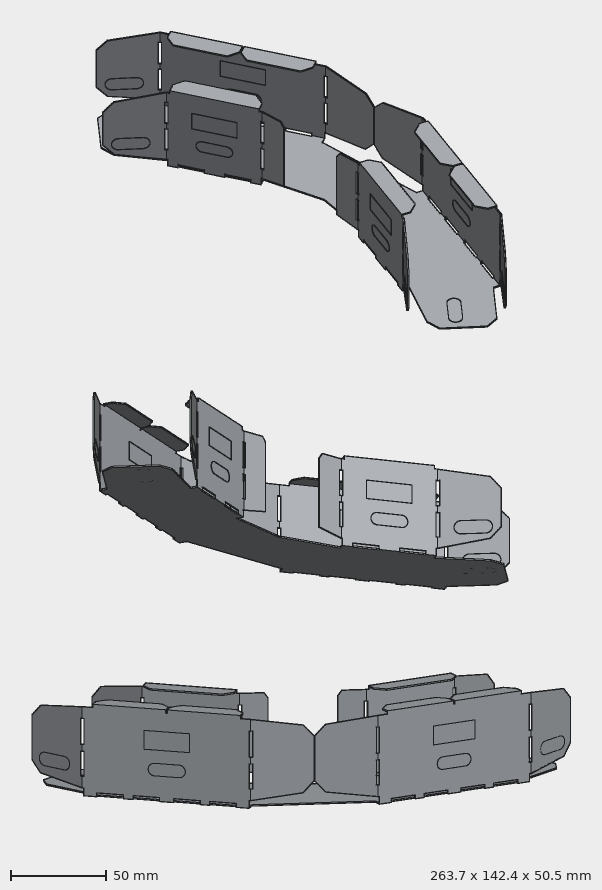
import cadquery as cq
import math


thickness = 0.8
height = 50.5
tray_width = 48.3
wing_angle = 22.5

outer_half = 92.0 / 2
inner_half = 26.7
shoulder_height = 48.5
wing_bottom = 4.2
foot_inset = 0.8

wing_length = 33.8
short_wing_length = 15.0
wing_chamfer = 5.8
outer_tip_heights = [7.7, 14.0, 38.5, 44.5]
inner_tip_heights = [9.0, 15.3, 37.0, 43.5]
short_chamfer = 2.0
short_wing_top = 45.7
short_wing_lower = 6.9
mid_gap = 0.3

tab_depth = 10.5
tab_straight = 5.3
tab_chamfer = 5.0
outer_tab_end = 40.5
inner_tab_end = 24.8
tab_gap = 0.8

slit_width = 1.8
bend_slits = [(10.5, 24.3), (28.0, 42.2)]
foot_slit_height = 2.0
foot_slit_length = 14.5
foot_slit_depth = 1.3
outer_foot_slits = [-31.0, -11.0, 11.0, 31.0]
inner_foot_slits = [-13.0, 13.0]

mark_depth = 0.3
slot_length = 20.3
end_slot_width = 7.5
wall_slot_width = 6.9
end_slot_from_bend = 19.0
wing_slot_height = 15.5
wall_slot_height = 17.2
window_length = 25.0
window_width = 10.3
window_height = 33.0

floor_clearance = 4.5
floor_end_chamfer = 6.3
floor_end_near = 10.0
floor_end_far = 35.0
floor_end_corner = 41.5
floor_notch = 4.2
floor_apex = 40.6
floor_slot_inward = 26.0

turn_cos = math.cos(math.radians(wing_angle))
turn_sin = math.sin(math.radians(wing_angle))
inner_face = thickness - tray_width
middle = (outer_half + wing_length * turn_cos, -wing_length * turn_sin)


def upright(x, y, angle):
    """Workplane standing on the path: local x along it, local y up, normal to the bend centre."""
    turn = math.radians(angle)
    along = (math.cos(turn), math.sin(turn), 0)
    normal = (math.sin(turn), -math.cos(turn), 0)
    return cq.Workplane(cq.Plane(origin=(x, y, 0), xDir=along, normal=normal))


def slot_mark(plane, x, y, width, angle=0):
    """Cutter for a round-ended mark in the sheet face that lies one thickness off the plane."""
    face = plane.workplane(offset=thickness - mark_depth)
    return face.center(x, y).slot2D(slot_length, width, angle).extrude(mark_depth)


def wall(half, y, tab_spans):
    """Upright wall with raised strips under its tabs, a slot mark and a label window."""
    foot = half - foot_inset
    outline = [
        (-foot, 0), (foot, 0), (foot, wing_bottom), (half, wing_bottom), (half, shoulder_height),
        (-half, shoulder_height), (-half, wing_bottom), (-foot, wing_bottom),
    ]
    plane = upright(0, y, 0)
    body = plane.polyline(outline).close().extrude(thickness)
    for start, end in tab_spans:
        strip = plane.center((start + end) / 2, height / 2).rect(end - start, height)
        body = body.union(strip.extrude(thickness))
    body = body.cut(slot_mark(plane, 0, wall_slot_height, wall_slot_width))
    face = plane.workplane(offset=thickness - mark_depth)
    window = face.center(0, window_height).rect(window_length, window_width)
    return body.cut(window.extrude(mark_depth))


def foot_slit_cutter(y, foot_slits):
    """Slits through the bend between a wall and the floor."""
    centres = [(x, y - foot_slit_depth / 2) for x in foot_slits]
    slits = cq.Workplane("XY").pushPoints(centres)
    return slits.rect(foot_slit_length, foot_slit_depth).extrude(foot_slit_height)


def wing(side, half, y, outline, has_slot):
    """Wing bent off one end of a wall; side is -1 for the left end and 1 for the right."""
    plane = upright(side * half, y, -side * wing_angle)
    body = plane.polyline([(side * along, up) for along, up in outline]).close().extrude(thickness)
    if has_slot:
        mark = slot_mark(plane, side * end_slot_from_bend, wing_slot_height, end_slot_width)
        body = body.cut(mark)
    return body


def bend_slit_cutter(side, half, y):
    """Slits up the bend between a wall and its wing."""
    reach = 4 * thickness
    cutter = cq.Workplane("XY")
    for bottom, top in bend_slits:
        base = cq.Workplane("XY", origin=(side * half, y, bottom))
        cutter = cutter.union(base.rect(slit_width, reach).extrude(top - bottom))
    return cutter


def tapered_wing(length, tip_heights):
    """Wing outline that narrows towards its chamfered tip."""
    bottom_corner, bottom_tip, top_tip, top_corner = tip_heights
    return [
        (0, wing_bottom), (length - wing_chamfer, bottom_corner), (length, bottom_tip),
        (length, top_tip), (length - wing_chamfer, top_corner), (0, shoulder_height),
    ]


def tab(start, end, y, direction):
    """Flat tab at the wall top, reaching from y towards the tray middle."""
    straight = y + direction * tab_straight
    edge = y + direction * tab_depth
    outline = [
        (start, y), (start, straight), (start + tab_chamfer, edge),
        (end - tab_chamfer, edge), (end, straight), (end, y),
    ]
    sheet = cq.Workplane("XY").workplane(offset=height - thickness)
    return sheet.polyline(outline).close().extrude(thickness)


def end_point(along, inward):
    """Floor point measured from the left outer bend, along the end wing and away from it."""
    x = -outer_half - along * turn_cos + inward * turn_sin
    y = -along * turn_sin - inward * turn_cos
    return (x, y)


def bisector_point(inward):
    """Floor point on the mirror plane, measured inward from the outer side."""
    return (middle[0] - inward * turn_sin, middle[1] - inward * turn_cos)


def floor():
    """Floor sheet from the tray end to the mirror plane, with its end slot mark."""
    outer_foot = outer_half - foot_inset
    inner_foot = inner_half - foot_inset
    notch_y = floor_notch - tray_width
    outline = [
        (outer_foot, 0), (-outer_foot, 0), (-outer_foot, -floor_clearance),
        end_point(wing_length - floor_end_chamfer, floor_clearance),
        end_point(wing_length, floor_end_near),
        end_point(wing_length, floor_end_far),
        end_point(wing_length - floor_end_chamfer, floor_end_corner),
        (-inner_foot, notch_y), (-inner_foot, -tray_width),
        (inner_foot, -tray_width), (inner_foot, notch_y),
        bisector_point(floor_apex), bisector_point(floor_clearance),
        (outer_foot, -floor_clearance),
    ]
    sheet = cq.Workplane("XY")
    slot_x, slot_y = end_point(end_slot_from_bend, floor_slot_inward)
    mark = slot_mark(sheet, slot_x, slot_y, end_slot_width, wing_angle)
    return sheet.polyline(outline).close().extrude(thickness).cut(mark)


def station():
    """One straight station: floor, both walls, their wings and tabs."""
    outer_end_wing = tapered_wing(wing_length, outer_tip_heights)
    outer_mid_wing = tapered_wing(wing_length - mid_gap / 2, outer_tip_heights)
    inner_end_wing = tapered_wing(wing_length, inner_tip_heights)
    short_wing = [
        (0, wing_bottom), (short_wing_length, short_wing_lower), (short_wing_length, short_wing_top),
        (short_wing_length - short_chamfer, shoulder_height), (0, shoulder_height),
    ]
    outer_tabs = [(-outer_tab_end, -tab_gap / 2), (tab_gap / 2, outer_tab_end)]
    inner_tabs = [(-inner_tab_end, inner_tab_end)]

    body = floor()
    sides = [
        (outer_half, 0, outer_foot_slits, outer_tabs, outer_end_wing, outer_mid_wing, 0, -1),
        (inner_half, inner_face, inner_foot_slits, inner_tabs, inner_end_wing, short_wing, -tray_width, 1),
    ]
    for half, y, foot_slits, tabs, end_wing, mid_wing, tab_y, tab_direction in sides:
        body = body.union(wall(half, y, tabs))
        body = body.union(wing(-1, half, y, end_wing, True))
        body = body.union(wing(1, half, y, mid_wing, False))
        for start, end in tabs:
            body = body.union(tab(start, end, tab_y, tab_direction))
        for side in (-1, 1):
            body = body.cut(bend_slit_cutter(side, half, y))
        body = body.cut(foot_slit_cutter(y, foot_slits))
    return body


first = station()
second = first.mirror((turn_cos, -turn_sin, 0), (middle[0], middle[1], 0))
result = first.union(second)